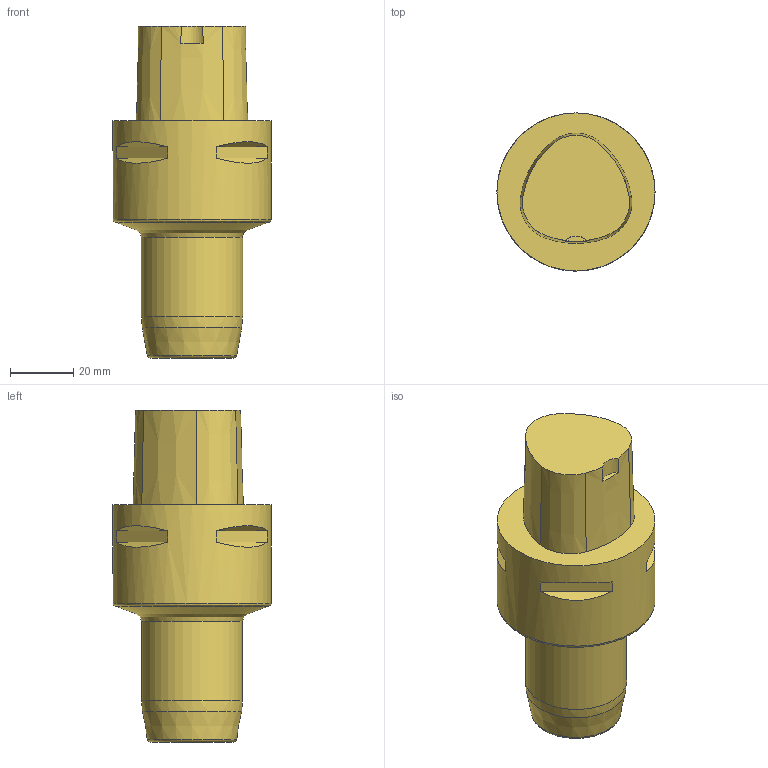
import cadquery as cq
import math

SHANK_LENGTH = 30.0
SHANK_TAPER = 1 / 40
LOBE_RADIUS = 11.9
LOBE_CENTER_DISTANCE = 6.7
SIDE_REACH = 16.3
LOBE_COUNT = 3

NOTCH_RADIUS = 5.0
NOTCH_DEPTH = 5.5
NOTCH_REACH = 14.0

FLANGE_RADIUS = 25.0
FLANGE_HEIGHT = 31.8
FLANGE_EDGE_FILLET = 1.0
CONE_SLOPE = math.radians(20)

GROOVE_COUNT = 4
GROOVE_FLAT_DISTANCE = 22.25
GROOVE_FLAT_WIDTH = 3.6
GROOVE_WALL_ANGLE = math.radians(30)
GROOVE_CENTER_Z = -10.0

BODY_LENGTH = 75.0
NECK_RADIUS = 16.0
NECK_FILLET = 2.5
NECK_END_Z = -62.0
NOSE_ANGLE = math.radians(10)
NOSE_BLEND_RADIUS = 20.0
NOSE_EDGE_FILLET = 1.0


def polar(radius, angle):
    return (radius * math.cos(angle), radius * math.sin(angle))


def shank_section(z, inset):
    """Outline of six tangent arcs: lobes and shallow sides in turn, moved inward by inset."""
    reach_step = SIDE_REACH - LOBE_RADIUS
    side_offset = (LOBE_CENTER_DISTANCE**2 - reach_step**2) / (2 * reach_step - LOBE_CENTER_DISTANCE)
    half_pitch = math.pi / LOBE_COUNT
    lobe_radius = LOBE_RADIUS - inset

    across = side_offset * math.sin(half_pitch)
    along = LOBE_CENTER_DISTANCE + side_offset * math.cos(half_pitch)
    normal_angle = math.atan2(across, along)
    joint_x = LOBE_CENTER_DISTANCE + lobe_radius * math.cos(normal_angle)
    joint_y = lobe_radius * math.sin(normal_angle)
    joint_distance = math.hypot(joint_x, joint_y)
    joint_angle = math.atan2(joint_y, joint_x)

    lobe_tip = LOBE_CENTER_DISTANCE + lobe_radius
    side_middle = SIDE_REACH - inset
    first_lobe = math.pi / 2
    outline = cq.Workplane("XY", origin=(0, 0, z)).moveTo(*polar(joint_distance, first_lobe - joint_angle))
    for index in range(LOBE_COUNT):
        lobe = first_lobe + 2 * half_pitch * index
        next_lobe = lobe + 2 * half_pitch
        outline = outline.threePointArc(polar(lobe_tip, lobe), polar(joint_distance, lobe + joint_angle))
        outline = outline.threePointArc(
            polar(side_middle, lobe + half_pitch),
            polar(joint_distance, next_lobe - joint_angle),
        )
    return outline.close().val()


def make_shank():
    bottom = shank_section(0, 0)
    top = shank_section(SHANK_LENGTH, SHANK_LENGTH * SHANK_TAPER)
    shank = cq.Workplane(cq.Solid.makeLoft([bottom, top], True))
    notch = (
        cq.Workplane("XY", origin=(0, -NOTCH_REACH - NOTCH_RADIUS, SHANK_LENGTH - NOTCH_DEPTH))
        .circle(NOTCH_RADIUS)
        .extrude(NOTCH_DEPTH)
    )
    return shank.cut(notch)


def at_height(z):
    """Select the circular edges lying at height z."""
    margin = 0.01
    size = 2 * FLANGE_RADIUS
    return cq.selectors.BoxSelector((-size, -size, z - margin), (size, size, z + margin), boundingbox=True)


def make_body():
    cone_end_z = -FLANGE_HEIGHT - (FLANGE_RADIUS - NECK_RADIUS) * math.tan(CONE_SLOPE)
    nose_start_z = NECK_END_Z - NOSE_BLEND_RADIUS * math.tan(NOSE_ANGLE / 2)
    nose_end_radius = NECK_RADIUS - (BODY_LENGTH + nose_start_z) * math.tan(NOSE_ANGLE)
    profile = [
        (0, 0),
        (FLANGE_RADIUS, 0),
        (FLANGE_RADIUS, -FLANGE_HEIGHT),
        (NECK_RADIUS, cone_end_z),
        (NECK_RADIUS, nose_start_z),
        (nose_end_radius, -BODY_LENGTH),
        (0, -BODY_LENGTH),
    ]
    body = cq.Workplane("XZ").polyline(profile).close().revolve(360, (0, 0, 0), (0, 1, 0))
    fillets = [
        (-FLANGE_HEIGHT, FLANGE_EDGE_FILLET),
        (cone_end_z, NECK_FILLET),
        (nose_start_z, NOSE_BLEND_RADIUS),
        (-BODY_LENGTH, NOSE_EDGE_FILLET),
    ]
    for z, radius in fillets:
        body = body.edges(at_height(z)).fillet(radius)
    return body


def cut_gripper_grooves(body):
    """Straight trapezoidal grooves, on the diagonals between the X and Y axes."""
    clearance = 1.0
    outer_distance = FLANGE_RADIUS + clearance
    flat_half = GROOVE_FLAT_WIDTH / 2
    mouth_half = flat_half + (outer_distance - GROOVE_FLAT_DISTANCE) * math.tan(GROOVE_WALL_ANGLE)
    section = [
        (GROOVE_FLAT_DISTANCE, GROOVE_CENTER_Z - flat_half),
        (outer_distance, GROOVE_CENTER_Z - mouth_half),
        (outer_distance, GROOVE_CENTER_Z + mouth_half),
        (GROOVE_FLAT_DISTANCE, GROOVE_CENTER_Z + flat_half),
    ]
    groove = cq.Workplane("XZ").polyline(section).close().extrude(FLANGE_RADIUS, both=True)
    pitch = 360 / GROOVE_COUNT
    for index in range(GROOVE_COUNT):
        body = body.cut(groove.rotate((0, 0, 0), (0, 0, 1), pitch * (index + 0.5)))
    return body


result = cut_gripper_grooves(make_body()).union(make_shank())